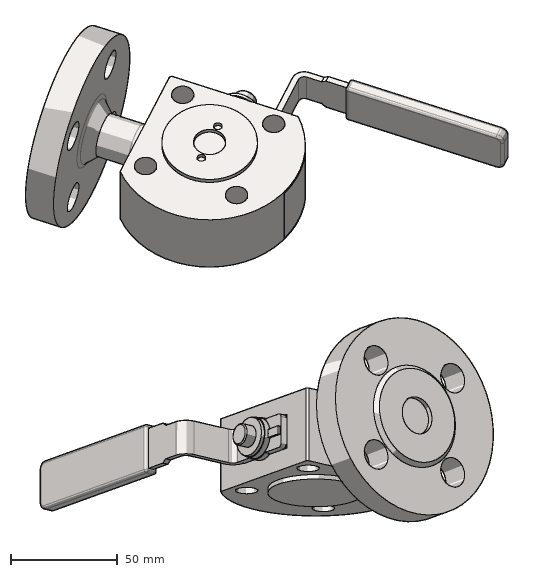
import cadquery as cq
import math


body_radius = 45.0
body_half_height = 17.8
body_side_flat_x = -32.9
body_stem_flat_y = 31.5
body_corner_chamfer = 0.8

plate_thickness = 0.3
plate_half_width = 13.0
plate_half_height = 17.2

bolt_offset = 23.0
bolt_pitch = 2 * bolt_offset
body_bolt_diameter = 10.5
flange_bolt_diameter = 14.2

disc_radius = 22.5
disc_height = 2.2
disc_recess_diameter = 15.0
disc_recess_depth = 2.0
spanner_hole_diameter = 4.0
spanner_hole_offset = 10.2

flange_radius = 47.5
flange_front_x = -74.0
flange_thickness = 14.2
raised_face_height = 2.0
raised_face_radius = 22.7
port_diameter = 17.8
port_depth = 2.6

neck_radius = 10.6
neck_cone_radius = 17.0
neck_flange_fillet = 3.0
neck_body_fillet = 4.0

lever_thickness = 3.0
lever_half_width = 8.2
lever_wide_half_width = 9.8
lever_start_x = -17.6
lever_base_y = 32.0
lever_leg_x = 17.8
lever_top_y = 65.0
lever_bend_radius = 3.0
lever_end_fillet = 1.6
lever_hub_radius = 10.0
lever_step_start_x = 31.5
lever_step_end_x = 33.7
lever_pad_end_x = 14.8
lever_grip_overlap = 4.0

nut_radius = 9.6
nut_height = 3.2
washer_radius = 9.2
washer_height = 1.8
stem_radius = 5.2
stem_top_y = 46.1
stem_chamfer = 0.6
tab_start_x = -17.0
tab_height = 1.2
tab_half_width = 2.0

grip_start_x = 44.3
grip_end_x = 124.5
grip_low_y = 59.8
grip_high_y = 66.5
grip_half_width = 11.8
grip_corner_radius = 3.8
grip_edge_fillet = 1.5


def stem_cylinder(radius, start_y, end_y):
    """Cylinder on the stem axis between two Y levels."""
    return cq.Workplane("XZ", origin=(0, start_y, 0)).circle(radius).extrude(start_y - end_y)


def centred_disc(radius, half_height):
    """Cylinder on the Z axis, centred on Z = 0."""
    return cq.Workplane("XY").circle(radius).extrude(half_height, both=True)


def slab(x_range, y_range, half_width):
    """Box centred on Z = 0."""
    length = x_range[1] - x_range[0]
    depth = y_range[1] - y_range[0]
    corner = (x_range[0], y_range[0], -half_width)
    return cq.Workplane("XY").box(length, depth, 2 * half_width, centered=False).translate(corner)


def make_body():
    flats = slab(
        (body_side_flat_x, body_radius), (-body_radius, body_stem_flat_y), body_half_height
    )
    flats = flats.edges("|Z and <X and >Y").chamfer(body_corner_chamfer)
    body = centred_disc(body_radius, body_half_height).intersect(flats)

    plate_radius = body_radius + plate_thickness
    plate = centred_disc(plate_radius, plate_half_height).intersect(
        slab((0, plate_radius), (-plate_half_width, plate_half_width), plate_half_height)
    )
    discs = centred_disc(disc_radius, body_half_height + disc_height)
    body = body.union(plate).union(discs)

    body = (
        body.faces(">Z").workplane(origin=(0, 0, 0))
        .rarray(bolt_pitch, bolt_pitch, 2, 2).hole(body_bolt_diameter)
    )
    body = (
        body.faces(">Z").workplane(origin=(0, 0, 0))
        .hole(disc_recess_diameter, disc_recess_depth)
    )
    spanner_points = [(0, spanner_hole_offset), (0, -spanner_hole_offset)]
    return (
        body.faces(">Z").workplane(origin=(0, 0, 0))
        .pushPoints(spanner_points).hole(spanner_hole_diameter, disc_recess_depth)
    )


def make_flange_and_neck():
    face_x = flange_front_x - raised_face_height
    flange_back_x = flange_front_x + flange_thickness
    cone_end_x = flange_back_x + neck_cone_radius - neck_radius
    fillet_start_x = body_side_flat_x - neck_body_fillet
    fillet_mid = neck_body_fillet * math.sqrt(0.5)
    turned = (
        cq.Workplane("XY")
        .moveTo(face_x, 0)
        .lineTo(face_x, raised_face_radius)
        .lineTo(flange_front_x, raised_face_radius + raised_face_height)
        .lineTo(flange_front_x, flange_radius)
        .lineTo(flange_back_x, flange_radius)
        .lineTo(flange_back_x, neck_cone_radius)
        .lineTo(cone_end_x, neck_radius)
        .lineTo(fillet_start_x, neck_radius)
        .threePointArc(
            (fillet_start_x + fillet_mid, neck_radius + neck_body_fillet - fillet_mid),
            (body_side_flat_x, neck_radius + neck_body_fillet),
        )
        .lineTo(body_side_flat_x, 0)
        .close()
        .revolve(360, (0, 0, 0), (1, 0, 0))
    )
    cone_root = turned.edges("%CIRCLE").filter(lambda e: math.isclose(e.radius(), neck_cone_radius))
    turned = cone_root.fillet(neck_flange_fillet)
    bolts = (
        cq.Workplane("YZ", origin=(flange_front_x, 0, 0))
        .rarray(bolt_pitch, bolt_pitch, 2, 2)
        .circle(flange_bolt_diameter / 2).extrude(flange_thickness)
    )
    port = cq.Workplane("YZ", origin=(face_x, 0, 0)).circle(port_diameter / 2).extrude(port_depth)
    return turned.cut(bolts).cut(port)


def make_lever():
    base_top_y = lever_base_y + lever_thickness
    leg_back_x = lever_leg_x + lever_thickness
    upper_low_y = lever_top_y - lever_thickness
    grip_overlap_x = grip_start_x + lever_grip_overlap
    strip = (
        cq.Workplane("XY")
        .moveTo(lever_start_x, lever_base_y)
        .lineTo(leg_back_x, lever_base_y)
        .lineTo(leg_back_x, upper_low_y)
        .lineTo(grip_overlap_x, upper_low_y)
        .lineTo(grip_overlap_x, lever_top_y)
        .lineTo(lever_leg_x, lever_top_y)
        .lineTo(lever_leg_x, base_top_y)
        .lineTo(lever_start_x, base_top_y)
        .close()
        .extrude(lever_half_width, both=True)
    )
    bends = (
        ((leg_back_x, lever_base_y), (lever_leg_x, base_top_y)),
        ((lever_leg_x, lever_top_y), (leg_back_x, upper_low_y)),
    )
    for outer, inner in bends:
        outer_edge = cq.selectors.NearestToPointSelector((*outer, 0))
        strip = strip.edges(outer_edge).fillet(lever_bend_radius + lever_thickness)
        inner_edge = cq.selectors.NearestToPointSelector((*inner, 0))
        strip = strip.edges(inner_edge).fillet(lever_bend_radius)
    strip = strip.edges("|Y and <X").fillet(lever_end_fillet)

    hub = stem_cylinder(lever_hub_radius, lever_base_y, base_top_y)
    widening = (
        cq.Workplane("XZ", origin=(0, upper_low_y, 0))
        .moveTo(lever_step_start_x, lever_half_width)
        .lineTo(lever_step_end_x, lever_wide_half_width)
        .lineTo(grip_overlap_x, lever_wide_half_width)
        .lineTo(grip_overlap_x, -lever_wide_half_width)
        .lineTo(lever_step_end_x, -lever_wide_half_width)
        .lineTo(lever_step_start_x, -lever_half_width)
        .close()
        .extrude(-lever_thickness)
    )
    pad = slab(
        (lever_start_x, lever_pad_end_x), (body_stem_flat_y, lever_base_y), lever_half_width
    )
    tab = slab((tab_start_x, 0), (base_top_y, base_top_y + tab_height), tab_half_width)
    return strip.union(hub).union(widening).union(pad).union(tab)


def make_stem():
    nut_base_y = lever_base_y + lever_thickness
    washer_base_y = nut_base_y + nut_height
    washer_top_y = washer_base_y + washer_height
    nut = stem_cylinder(nut_radius, nut_base_y, washer_base_y)
    washer = stem_cylinder(washer_radius, washer_base_y, washer_top_y)
    stem = stem_cylinder(stem_radius, nut_base_y, stem_top_y).faces(">Y").chamfer(stem_chamfer)
    return nut.union(washer).union(stem)


def make_grip():
    grip = slab((grip_start_x, grip_end_x), (grip_low_y, grip_high_y), grip_half_width)
    grip = grip.edges("|Y and >X").fillet(grip_corner_radius)
    return grip.edges("not(|Y and (not <X))").fillet(grip_edge_fillet)


result = make_body()
for piece in (make_flange_and_neck(), make_lever(), make_stem(), make_grip()):
    result = result.union(piece)